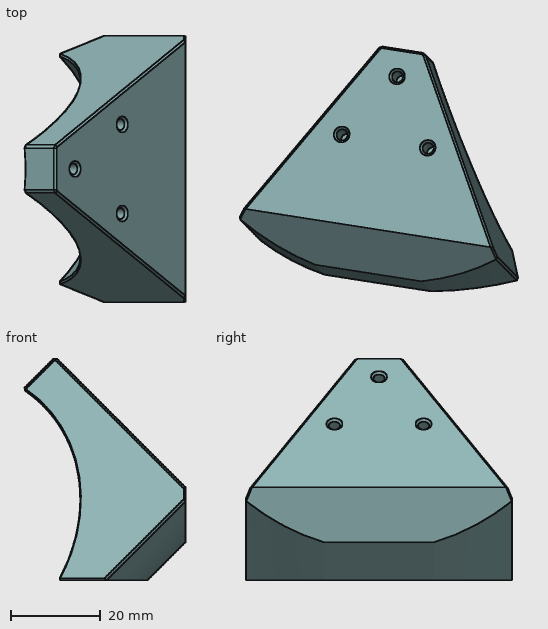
import cadquery as cq
import math

length = 35.9
height = 49.5
width = 59.5

top_v = 40.05
tip_u = -30.4
end_u = 19.35
corner_u = 12.7
side_angle = 30.0
end_arc_radius = 60.7
edge_chamfer = 0.5

ball_radius = 37.6
ball_x = -18.5
ball_z = 10.0

hole_diameter = 2.5
hole_depth = 5.95
countersink_diameter = 3.55
countersink_angle = 90.0
hole_points = [(-24.15, 0), (-9.3, 9.95), (-9.3, -9.95)]

wedge_plane = cq.Plane(origin=(0, 0, 0), xDir=(1, 0, -1), normal=(1, 0, 1))
top_plane = cq.Plane(wedge_plane.toWorldCoords((0, 0, top_v)), xDir=(1, 0, -1), normal=(1, 0, 1))


def make_wedge():
    """Wedge with straight sides, an arched wide end and a flat on the arch."""
    corner_half = width / 2 + edge_chamfer * math.sin(math.radians(side_angle))
    tip_half = corner_half - (corner_u - tip_u) * math.tan(math.radians(side_angle))
    arc_center_u = corner_u - math.sqrt(end_arc_radius**2 - corner_half**2)
    flat_half = math.sqrt(end_arc_radius**2 - (end_u - arc_center_u) ** 2)
    mid_angle = (math.asin(flat_half / end_arc_radius) + math.asin(corner_half / end_arc_radius)) / 2
    mid_u = arc_center_u + end_arc_radius * math.cos(mid_angle)
    mid_y = end_arc_radius * math.sin(mid_angle)

    wedge = (
        cq.Workplane(wedge_plane)
        .moveTo(tip_u, -tip_half)
        .lineTo(corner_u, -corner_half)
        .threePointArc((mid_u, -mid_y), (end_u, -flat_half))
        .lineTo(end_u, flat_half)
        .threePointArc((mid_u, mid_y), (corner_u, corner_half))
        .lineTo(tip_u, tip_half)
        .close()
        .extrude(top_v, both=True)
    )
    envelope = cq.Workplane().box(2 * length, 2 * width, 2 * height, centered=(True, True, False))
    return wedge.intersect(envelope)


def make_ball():
    return cq.Workplane().sphere(ball_radius).translate((ball_x, 0, ball_z))


def chamfer_edges(body):
    """Break every edge of the tip, the two straight sides and the pocket."""
    slope = math.radians(side_angle)
    outward = cq.Vector(-1, 0, 1).normalized()
    face_normals = [outward]
    for side in (-1, 1):
        face_normals.append(outward * math.sin(slope) + cq.Vector(0, side, 0) * math.cos(slope))
    edges = body.faces("%SPHERE").edges()
    for normal in face_normals:
        edges = edges.add(body.faces(cq.selectors.DirectionMinMaxSelector(normal, True)).edges())
    return edges.chamfer(edge_chamfer)


body = chamfer_edges(make_wedge().cut(make_ball()))
result = (
    body.copyWorkplane(cq.Workplane(top_plane))
    .pushPoints(hole_points)
    .cskHole(hole_diameter, countersink_diameter, countersink_angle, hole_depth)
)